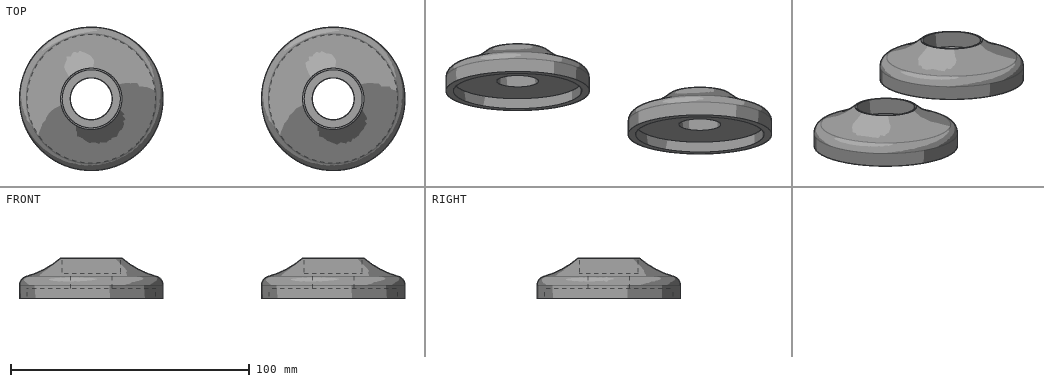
import cadquery as cq

flange_spacing = 101.6
flange_diameter = 60.325
flange_height = 17.02
crown_diameter = 25.8
socket_diameter = 24.4
bore_diameter = 17.5
shoulder_height = 8.7
shoulder_round = 3.9
flare_radius = 37.0
web_thickness = 6.2
recess_depth = 4.3
rim_wall = 3.2

flange_radius = flange_diameter / 2
crown_radius = crown_diameter / 2
socket_floor_height = recess_depth + web_thickness
socket_depth = flange_height - socket_floor_height
recess_diameter = flange_diameter - 2 * rim_wall


def flared_body():
    """Solid bell shape: straight rim, rounded shoulder and concave flare."""
    profile = (
        cq.Workplane("XZ")
        .lineTo(flange_radius, 0)
        .lineTo(flange_radius, shoulder_height)
        .radiusArc((crown_radius, flange_height), flare_radius)
        .lineTo(0, flange_height)
        .close()
    )
    body = profile.revolve(360, (0, 0, 0), (0, 1, 0))
    shoulder_centre = cq.NearestToPointSelector((0, 0, shoulder_height))
    return body.edges(shoulder_centre).fillet(shoulder_round)


def make_flange():
    """One flange with its stepped centre hole and hollow underside."""
    flange = flared_body()
    flange = flange.faces(">Z").workplane().cboreHole(bore_diameter, socket_diameter, socket_depth)
    recess = cq.Workplane("XY").circle(recess_diameter / 2).extrude(recess_depth)
    return flange.cut(recess)


flanges = []
for side in (-1, 1):
    flange = make_flange().translate((side * flange_spacing / 2, 0, 0))
    flanges.append(flange.val())

result = cq.Compound.makeCompound(flanges)